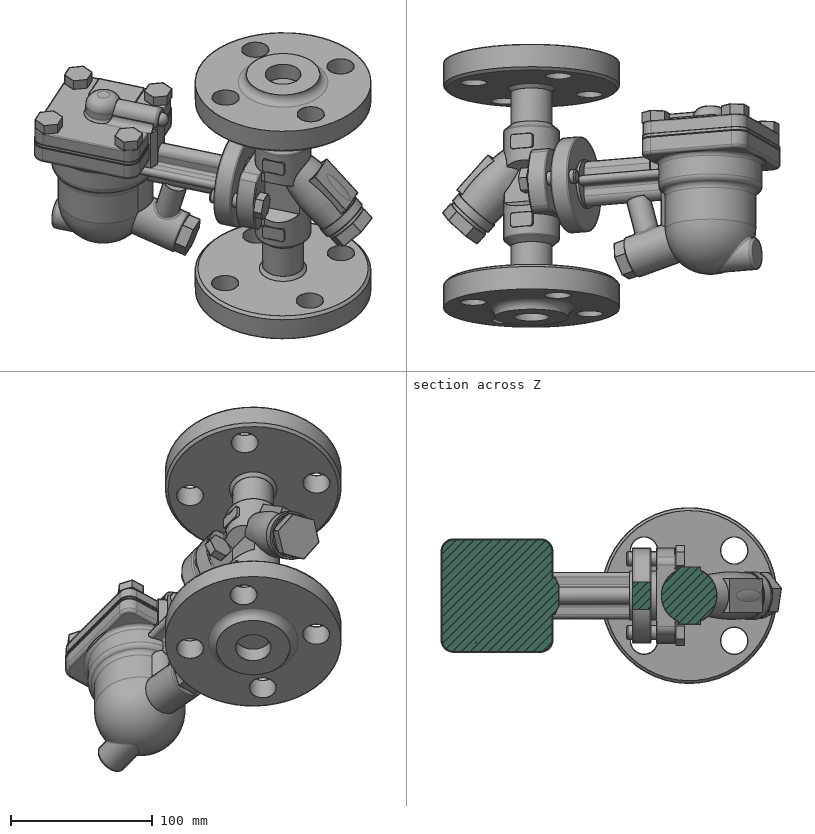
import cadquery as cq
import math


run_length = 190.0
pipe_d = 29.0
flange_d = 124.0
flange_t = 18.2
flange_chamfer = 2.0
raised_face_h = 6.6
raised_face_d = 52.0
raised_face_root_d = 63.2
pipe_root_d = 33.4
pipe_root_h = 2.8
bore_d = 25.0
bore_depth = 12.0
bolt_circle_d = 90.0
bolt_hole_d = 19.0
bolt_hole_count = 4
top_flange_turn = 1.0

body_d = 39.3
body_half_h = 39.2
body_cone_h = 4.4
pad_w = 16.3
pad_h = 10.3
pad_z = 28.3
pad_y = 20.2
pad_corner_r = 2.0
flange_back_x = -7.0
flange_back_half_w = 18.6
body_shoulder_fillet = 1.2
waist_half_w = 11.0
waist_half_flat = 11.4
waist_half_open = 16.4

joint_z = -2.0
hub_d = 34.4
hub_start_x = -42.0
hub_end_x = -16.0
disc_d = 67.2
disc_x = (-40.0, -27.0)
disc_fillet = 1.0
body_flange_x = (-23.0, -9.4)
body_flange_d = 67.2
body_flange_half_h = 22.5
body_flange_fillet = 7.0
body_flange_edge_fillet = 0.8
joint_bolt_y = 26.0
joint_bolt_d = 10.0
joint_bolt_start_x = -44.2
joint_bolt_chamfer = 1.0
joint_head_flats = 16.0
joint_head_h = 6.0

strainer_tilt = 45.0
strainer_axis_z = 27.5
strainer_root_d = 27.0
strainer_d = 33.4
strainer_belly_s = (-6.0, 20.0)
collar_d = 33.6
collar_s = (39.0, 45.6)
strainer_neck_d = 31.8
plate_s = (4.6, 37.6)
plate_w = 24.0
plate_rise = 16.2
strainer_plug_corners_d = 33.0
strainer_gasket_d = 31.0
strainer_plug_s = (48.2, 57.0)
strainer_plug_turn = 42.0

trap_x = -135.0
cover_l = 79.0
cover_w = 80.0
cover_x = -135.5
cover_corner_r = 9.0
cover_top_z = 30.5
cover_step_z = 21.2
cover_split_z = 18.5
cover_bottom_z = 6.1
cover_inset = 0.5
cover_under_fillet = 2.5
cover_edge_fillet = 0.8
seam_depth = 0.3
seam_h = 0.6
cover_bolt_pitch = 60.0
cover_bolt_flats = 17.0
cover_bolt_h = 7.4
nameplate_w = 34.3
nameplate_l = 21.7
nameplate_t = 1.2
nameplate_x = -135.2
nameplate_y = 26.9
nameplate_corner_r = 1.2

collar_r = 36.5
collar_top_z = 3.1
collar_bottom_z = -10.3
bowl_r = 32.0
bowl_top_z = -19.0
bowl_centre_z = -42.0

dome_d = 25.0
dome_root_d = 27.3
dome_root_h = 2.4
dome_tangent_z = 37.7
dome_top_z = 46.0
dome_flat_d = 8.73

cover_duct_d = 16.0
cover_duct_z = 35.3
cover_duct_root_w = 26.4
cover_duct_end_x = -91.9
cover_duct_nose_fillet = 1.5
ball_d = 10.0
ball_offset = 0.6
side_boss_tip_w = 14.4
side_boss_root_x = -94.6

drain_d = 22.6
drain_z = -62.3
drain_end_x = -170.3
drain_fillet = 2.0
drain_root_fillet = 1.0

link_start_x = -110.0
link_passage_d = 12.0
link_passage_offset = 10.0
link_web_half_t = 3.2
link_half_w = 16.4
link_fillet = 2.0

pocket_tilt = 15.0
pocket_d = 29.4
pocket_length = 61.0
pocket_fillet = 0.8
pocket_plug_flats = 24.0
pocket_plug_h = 8.4
riser_d = 17.0
riser_top_x = -81.1
riser_top_z = -18.0
riser_overlap = 1.5
riser_length = 40.0
riser_foot_fillet = 1.5
bowl_duct_d = 26.0
bowl_duct_edge_x = -98.6
bowl_duct_top_z = -6.0
bowl_duct_bottom_z = -55.0


def hex_corners_d(flats):
    """Corner-to-corner size of a hexagon from its size across flats."""
    return flats / math.cos(math.radians(30))


def rod(diameter, start, direction, length):
    """A round rod from a start point along a direction."""
    return cq.Workplane(obj=cq.Solid.makeCylinder(
        diameter / 2, length, cq.Vector(*start), cq.Vector(*direction)))


def revolve_about_z(profile, x):
    """Turn an (r, z) profile about the vertical axis at the given X."""
    return profile.close().revolve(360, (0, 0), (0, 1)).translate((x, 0, 0))


def box_between(x_range, y_range, z_range):
    """A box given by its limits on each axis."""
    size = [high - low for low, high in (x_range, y_range, z_range)]
    corner = (x_range[0], y_range[0], z_range[0])
    return cq.Workplane("XY").box(*size, centered=False).translate(corner)


def place(shape, origin, tilt):
    """Lay an upright shape along +X, dipped by a tilt angle; its local X then faces up."""
    angle = math.radians(tilt)
    down = (math.cos(angle), 0, -math.sin(angle))
    up = (math.sin(angle), 0, math.cos(angle))
    plane = cq.Plane(origin=origin, xDir=up, normal=down)
    return cq.Workplane(obj=shape.val().moved(cq.Location(plane)))


def make_run_end(turn):
    """Upper half of the pipe run: half pipe, end flange, raised face, bore and bolt holes."""
    top_z = run_length / 2
    flange_top = top_z - raised_face_h
    flange_bottom = flange_top - flange_t
    flange_r = flange_d / 2
    face_r = raised_face_d / 2
    face_root_r = raised_face_root_d / 2
    profile = (
        cq.Workplane("XZ")
        .lineTo(pipe_d / 2, 0)
        .lineTo(pipe_d / 2, flange_bottom - pipe_root_h)
        .lineTo(pipe_root_d / 2, flange_bottom)
        .lineTo(flange_r - flange_chamfer, flange_bottom)
        .lineTo(flange_r, flange_bottom + flange_chamfer)
        .lineTo(flange_r, flange_top)
        .lineTo(face_root_r, flange_top)
        .radiusArc((face_r, top_z), raised_face_h)
        .lineTo(0, top_z)
    )
    end = revolve_about_z(profile, 0)
    bore = rod(bore_d, (0, 0, top_z - bore_depth), (0, 0, 1), bore_depth)
    holes = (
        cq.Workplane("XY")
        .workplane(offset=flange_bottom)
        .polarArray(bolt_circle_d / 2, 180 / bolt_hole_count + turn, 360, bolt_hole_count)
        .circle(bolt_hole_d / 2)
        .extrude(flange_t)
    )
    return end.cut(bore).cut(holes)


def make_pipe_run():
    """Both halves of the pipe run; the upper flange is turned slightly against the lower."""
    upper = make_run_end(top_flange_turn)
    lower = make_run_end(0).mirror("XY")
    return upper.union(lower)


def make_valve_body(pipe_run):
    """Round body on the pipe run: coned ends, waist reliefs beside the joint bolts, and raised pads."""
    half_h = body_half_h
    profile = (
        cq.Workplane("XZ")
        .moveTo(0, -half_h - body_cone_h)
        .lineTo(pipe_d / 2, -half_h - body_cone_h)
        .lineTo(body_d / 2, -half_h)
        .lineTo(body_d / 2, half_h)
        .lineTo(pipe_d / 2, half_h + body_cone_h)
        .lineTo(0, half_h + body_cone_h)
    )
    body = revolve_about_z(profile, 0)
    shoulders = body.edges(cq.selectors.RadiusNthSelector(-1))
    body = shoulders.fillet(body_shoulder_fillet).union(pipe_run)
    back_y = (-flange_back_half_w, flange_back_half_w)
    back_z = (joint_z - body_flange_half_h, joint_z + body_flange_half_h)
    body = body.union(box_between((body_flange_x[0], flange_back_x), back_y, back_z))
    for side in (1, -1):
        relief = (
            cq.Workplane("YZ")
            .moveTo(side * waist_half_w, joint_z - waist_half_flat)
            .lineTo(side * body_d / 2, joint_z - waist_half_open)
            .lineTo(side * body_d / 2, joint_z + waist_half_open)
            .lineTo(side * waist_half_w, joint_z + waist_half_flat)
            .close()
            .extrude(body_d, both=True)
        )
        body = body.cut(relief)
        for z in (pad_z, -pad_z):
            pad = (
                cq.Workplane("XZ")
                .center(0, z)
                .rect(pad_w, pad_h)
                .extrude(pad_y)
                .edges("|Y")
                .fillet(pad_corner_r)
            )
            if side > 0:
                pad = pad.mirror("XZ")
            body = body.union(pad)
    return body


def make_joint():
    """Round trap flange and flat-sided body flange, held by two bolts."""
    axis = (1, 0, 0)
    hub = rod(hub_d, (hub_start_x, 0, joint_z), axis, hub_end_x - hub_start_x)
    disc = rod(disc_d, (disc_x[0], 0, joint_z), axis, disc_x[1] - disc_x[0])
    disc = disc.edges().fillet(disc_fillet)
    flange_span = body_flange_x[1] - body_flange_x[0]
    flange = rod(body_flange_d, (body_flange_x[0], 0, joint_z), axis, flange_span)
    flat_z = (joint_z - body_flange_half_h, joint_z + body_flange_half_h)
    flat_y = (-body_flange_d / 2, body_flange_d / 2)
    flange = flange.intersect(box_between(body_flange_x, flat_y, flat_z))
    flange = flange.edges("|X").fillet(body_flange_fillet)
    flange = flange.edges("#X").fillet(body_flange_edge_fillet)
    joint = hub.union(disc).union(flange)

    head_x = body_flange_x[1]
    for y in (joint_bolt_y, -joint_bolt_y):
        start = (joint_bolt_start_x, y, joint_z)
        shank = rod(joint_bolt_d, start, axis, head_x - joint_bolt_start_x)
        shank = shank.faces("<X").edges().chamfer(joint_bolt_chamfer)
        head = (
            cq.Workplane("YZ")
            .polygon(6, hex_corners_d(joint_head_flats))
            .extrude(joint_head_h)
            .translate((head_x, y, joint_z))
        )
        joint = joint.union(shank).union(head)
    return joint


def make_strainer():
    """Strainer barrel with a flat plate, an end collar and a hexagonal plug."""
    plug_start, plug_end = strainer_plug_s
    root_s, full_s = strainer_belly_s
    profile = (
        cq.Workplane("XZ")
        .moveTo(0, root_s)
        .lineTo(strainer_root_d / 2, root_s)
        .threePointArc((strainer_d / 2, full_s), (strainer_neck_d / 2, collar_s[0]))
        .lineTo(collar_d / 2, collar_s[0])
        .lineTo(collar_d / 2, collar_s[1])
        .lineTo(strainer_gasket_d / 2, collar_s[1])
        .lineTo(strainer_gasket_d / 2, plug_start)
        .lineTo(0, plug_start)
    )
    barrel = revolve_about_z(profile, 0)
    plate = box_between((0, plate_rise), (-plate_w / 2, plate_w / 2), plate_s)
    plug = (
        cq.Workplane("XY")
        .workplane(offset=plug_start)
        .transformed(rotate=(0, 0, strainer_plug_turn))
        .polygon(6, strainer_plug_corners_d)
        .extrude(plug_end - plug_start)
    )
    strainer = barrel.union(plate).union(plug)
    foot = strainer_axis_z / 2
    return place(strainer, (foot, 0, foot), strainer_tilt)


def make_trap_cover():
    """Square cover and trap flange, with a seam between them, bolts and nameplate."""

    def slab(inset, bottom, top):
        plate = (
            cq.Workplane("XY")
            .rect(cover_l - 2 * inset, cover_w - 2 * inset)
            .extrude(top - bottom)
            .edges("|Z")
            .fillet(cover_corner_r - inset)
        )
        return plate.translate((cover_x, 0, bottom))

    seam_top = cover_split_z + seam_h
    base = slab(0, cover_bottom_z, cover_split_z)
    base = base.faces("<Z").edges().fillet(cover_under_fillet)
    seam = slab(seam_depth, cover_split_z, seam_top)
    lip = slab(0, seam_top, cover_step_z)
    lid = slab(cover_inset, cover_step_z, cover_top_z)
    lid = lid.faces(">Z").edges().fillet(cover_edge_fillet)
    cover = base.union(seam).union(lip).union(lid)
    heads = (
        cq.Workplane("XY")
        .workplane(offset=cover_top_z)
        .transformed(rotate=(0, 0, 90))
        .rect(cover_bolt_pitch, cover_bolt_pitch, forConstruction=True)
        .vertices()
        .polygon(6, hex_corners_d(cover_bolt_flats))
        .extrude(cover_bolt_h)
        .translate((trap_x, 0, 0))
    )
    nameplate = (
        cq.Workplane("XY")
        .center(nameplate_x, nameplate_y)
        .rect(nameplate_w, nameplate_l)
        .extrude(nameplate_t)
        .edges("|Z")
        .fillet(nameplate_corner_r)
        .translate((0, 0, cover_top_z))
    )
    return cover.union(heads).union(nameplate)


def make_trap_bowl():
    """Turned bowl: shouldered collar, cylinder and hemispherical bottom."""
    root = cover_bottom_z - collar_top_z
    shoulder = collar_r - bowl_r
    bend_r = (bowl_r + shoulder / 2, (collar_bottom_z + bowl_top_z) / 2)
    low = math.sqrt(0.5) * bowl_r
    profile = (
        cq.Workplane("XZ")
        .moveTo(0, cover_bottom_z)
        .lineTo(collar_r + root, cover_bottom_z)
        .radiusArc((collar_r, collar_top_z), -root)
        .lineTo(collar_r, collar_bottom_z)
        .radiusArc(bend_r, shoulder)
        .radiusArc((bowl_r, bowl_top_z), -shoulder)
        .lineTo(bowl_r, bowl_centre_z)
        .threePointArc((low, bowl_centre_z - low), (0, bowl_centre_z - bowl_r))
    )
    return revolve_about_z(profile, trap_x)


def make_dome():
    """Round dome on the cover with a filleted root, rounded shoulder and flat top."""
    root_w = (dome_root_d - dome_d) / 2
    root_r = (root_w**2 + dome_root_h**2) / (2 * root_w)
    profile = (
        cq.Workplane("XZ")
        .moveTo(0, cover_top_z)
        .lineTo(dome_root_d / 2, cover_top_z)
        .radiusArc((dome_d / 2, cover_top_z + dome_root_h), root_r)
        .lineTo(dome_d / 2, dome_tangent_z)
        .radiusArc((dome_flat_d / 2, dome_top_z), -(dome_top_z - dome_tangent_z))
        .lineTo(0, dome_top_z)
    )
    return revolve_about_z(profile, trap_x)


def make_cover_duct():
    """Round-topped duct from the dome over the cover edge, closed by a ball, with its side boss."""
    r = cover_duct_d / 2
    root = cover_duct_root_w / 2 - r
    profile = (
        cq.Workplane("YZ")
        .moveTo(-r - root, cover_top_z)
        .radiusArc((-r, cover_top_z + root), -root)
        .lineTo(-r, cover_duct_z)
        .threePointArc((0, cover_duct_z + r), (r, cover_duct_z))
        .lineTo(r, cover_top_z + root)
        .radiusArc((r + root, cover_top_z), -root)
        .close()
    )
    duct = profile.extrude(side_boss_root_x - trap_x).translate((trap_x, 0, 0))
    nose = rod(cover_duct_d, (trap_x, 0, cover_duct_z), (1, 0, 0), cover_duct_end_x - trap_x)
    nose = nose.faces(">X").edges().fillet(cover_duct_nose_fillet)
    ball = cq.Workplane("XY").sphere(ball_d / 2)
    ball = ball.translate((cover_duct_end_x + ball_offset, 0, cover_duct_z))
    boss = (
        cq.Workplane("XY")
        .moveTo(trap_x, -cover_duct_root_w / 2)
        .lineTo(side_boss_root_x, -cover_duct_root_w / 2)
        .lineTo(cover_duct_end_x, -side_boss_tip_w / 2)
        .lineTo(cover_duct_end_x, side_boss_tip_w / 2)
        .lineTo(side_boss_root_x, cover_duct_root_w / 2)
        .lineTo(trap_x, cover_duct_root_w / 2)
        .close()
        .extrude(cover_top_z - joint_z)
        .translate((0, 0, joint_z))
    )
    neck_y = (-side_boss_tip_w / 2, side_boss_tip_w / 2)
    neck = box_between((trap_x, cover_duct_end_x), neck_y, (cover_top_z, cover_duct_z))
    return duct.union(nose).union(ball).union(boss).union(neck)


def make_bowl_with_drain():
    """Bowl with a level drain stub low on its side, blended at its foot."""
    stub = rod(drain_d, (drain_end_x, 0, drain_z), (1, 0, 0), trap_x - drain_end_x)
    stub = stub.faces("<X").edges().fillet(drain_fillet)
    bowl = make_trap_bowl().union(stub)
    return bowl.edges("%BSPLINE").fillet(drain_root_fillet)


def make_link():
    """Two stacked passages joined by a level web with rounded edges."""
    length = hub_start_x - link_start_x
    half_t = link_web_half_t
    passage_w = link_passage_d
    wall = cq.Workplane("YZ").rect(passage_w, 2 * link_passage_offset).extrude(length)
    web = cq.Workplane("YZ").rect(2 * (link_half_w - half_t), 2 * half_t).extrude(length)
    reach = passage_w / 2 + half_t / 2
    inner_corners = cq.selectors.BoxSelector((0, -reach, -reach), (length, reach, reach))
    link = wall.union(web).edges("|X").edges(inner_corners).fillet(link_fillet)
    for side in (1, -1):
        passage = rod(passage_w, (0, 0, side * link_passage_offset), (1, 0, 0), length)
        edge = rod(2 * half_t, (0, side * (link_half_w - half_t), 0), (1, 0, 0), length)
        link = link.union(passage).union(edge)
    return link.translate((link_start_x, 0, joint_z))


def make_drain_pocket():
    """Sloping plugged pocket from the bowl, its riser from the link and the bowl side duct."""
    pocket = cq.Workplane("XY").circle(pocket_d / 2).extrude(pocket_length)
    pocket = pocket.faces(">Z").edges().fillet(pocket_fillet)
    plug = (
        cq.Workplane("XY")
        .workplane(offset=pocket_length)
        .transformed(rotate=(0, 0, 90))
        .polygon(6, hex_corners_d(pocket_plug_flats))
        .extrude(pocket_plug_h)
    )
    pocket = place(pocket.union(plug), (trap_x, 0, bowl_centre_z), pocket_tilt)

    tilt = math.radians(pocket_tilt)
    riser_axis = (-math.sin(tilt), 0, -math.cos(tilt))
    riser_start = (
        riser_top_x - riser_overlap * riser_axis[0],
        0,
        riser_top_z - riser_overlap * riser_axis[2],
    )
    riser = rod(riser_d, riser_start, riser_axis, riser_length)

    pocket = pocket.union(riser).edges("%BSPLINE").fillet(riser_foot_fillet)

    duct_x = bowl_duct_edge_x - bowl_duct_d / 2
    duct_span = bowl_duct_top_z - bowl_duct_bottom_z
    duct = rod(bowl_duct_d, (duct_x, 0, bowl_duct_bottom_z), (0, 0, 1), duct_span)
    return pocket.union(duct)


parts = [
    make_valve_body(make_pipe_run()),
    make_joint(),
    make_strainer(),
    make_trap_cover(),
    make_bowl_with_drain(),
    make_dome(),
    make_cover_duct(),
    make_link(),
    make_drain_pocket(),
]
result = parts[0]
for part in parts[1:]:
    result = result.union(part)